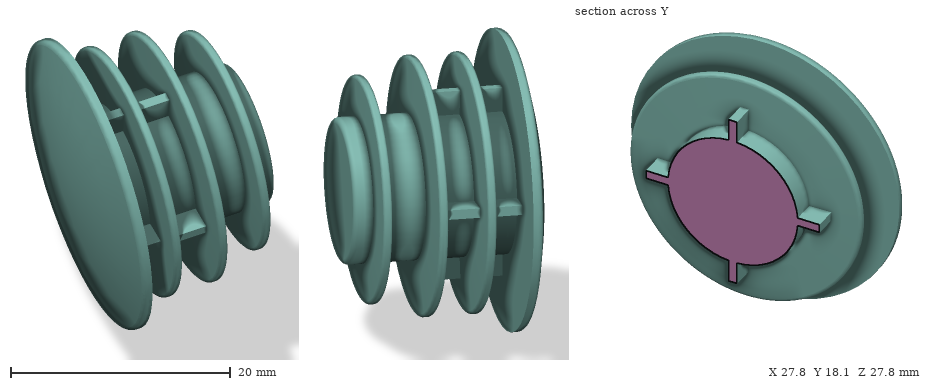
import cadquery as cq
import math


cap_radius = 13.9
cap_rim_thickness = 0.83
dome_tip_y = -2.9
cap_edge_fillet = 0.5

body_radius = 6.75
body_length = 15.2
body_end_fillet = 0.5

large_fin_radius = 12.0
small_fin_radius = 10.5
fins = [
    (3.4, large_fin_radius),
    (7.9, large_fin_radius),
    (12.8, small_fin_radius),
]
fin_tip_thickness = 0.8
fin_root_thickness = 1.2
fin_tip_fillet = 0.3

rib_radius = 9.0
rib_thickness = 0.9
rib_end_y = fins[1][0]


def revolve_about_y(profile):
    """Revolve a closed profile (X = radius, Y = axis) a full turn."""
    return profile.revolve(360, (0, 0, 0), (0, 1, 0))


def make_cap():
    """Disc with a spherical dome and a rounded rim."""
    dome_height = -dome_tip_y - cap_rim_thickness
    sphere_radius = (cap_radius**2 + dome_height**2) / (2 * dome_height)
    mid_radius = cap_radius / 2
    mid_y = dome_tip_y + sphere_radius - math.sqrt(sphere_radius**2 - mid_radius**2)
    profile = (
        cq.Workplane("XY")
        .lineTo(cap_radius, 0)
        .lineTo(cap_radius, -cap_rim_thickness)
        .threePointArc((mid_radius, mid_y), (0, dome_tip_y))
        .close()
    )
    return revolve_about_y(profile).faces("<Y").edges(">Y").fillet(cap_edge_fillet)


def make_body():
    """Cylinder with a rounded free end."""
    cylinder = cq.Workplane("XZ").circle(body_radius).extrude(-body_length)
    return cylinder.faces(">Y").edges().fillet(body_end_fillet)


def make_fin(mid_y, tip_radius):
    """Tapered disc around the body, centred on mid_y."""
    half_tip = fin_tip_thickness / 2
    half_root = fin_root_thickness / 2
    profile = (
        cq.Workplane("XY")
        .moveTo(0, mid_y - half_root)
        .lineTo(body_radius, mid_y - half_root)
        .lineTo(tip_radius, mid_y - half_tip)
        .lineTo(tip_radius, mid_y + half_tip)
        .lineTo(body_radius, mid_y + half_root)
        .lineTo(0, mid_y + half_root)
        .close()
    )
    tip_edges = cq.selectors.RadiusNthSelector(-1)
    return revolve_about_y(profile).edges(tip_edges).fillet(fin_tip_fillet)


def make_ribs():
    """Four radial ribs, formed by two crossed plates through the axis."""
    plate_along_x = cq.Workplane("XZ").rect(2 * rib_radius, rib_thickness).extrude(-rib_end_y)
    plate_along_z = cq.Workplane("XZ").rect(rib_thickness, 2 * rib_radius).extrude(-rib_end_y)
    return plate_along_x.union(plate_along_z)


result = make_cap().union(make_body()).union(make_ribs())
for fin_y, fin_radius in fins:
    result = result.union(make_fin(fin_y, fin_radius))